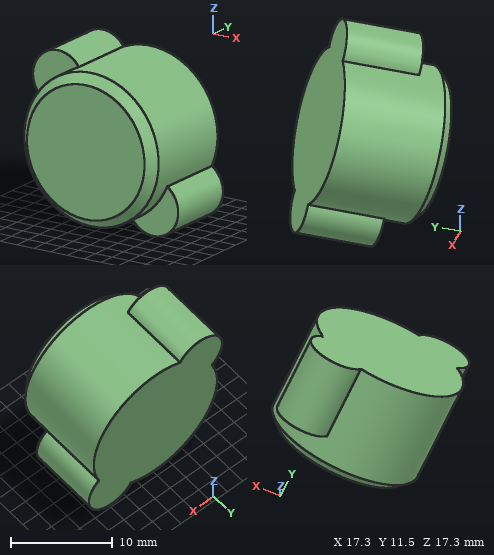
import cadquery as cq

overall_width = 17.3
body_diameter = 16.0
body_length = 11.5
front_chamfer = 1.0
lug_radius = 3.0
lug_length = 8.0

lug_offset = overall_width / 2 - lug_radius
lug_centers = [(-lug_offset, lug_offset), (lug_offset, -lug_offset)]


def make_body():
    """Round body along Y, chamfered at its front (-Y) end, back face at Y = 0."""
    body = cq.Workplane("XZ").circle(body_diameter / 2).extrude(body_length)
    return body.faces("<Y").edges().chamfer(front_chamfer)


def make_lugs():
    """Two opposite round lugs, flush with the back face."""
    return cq.Workplane("XZ").pushPoints(lug_centers).circle(lug_radius).extrude(lug_length)


result = make_body().union(make_lugs())